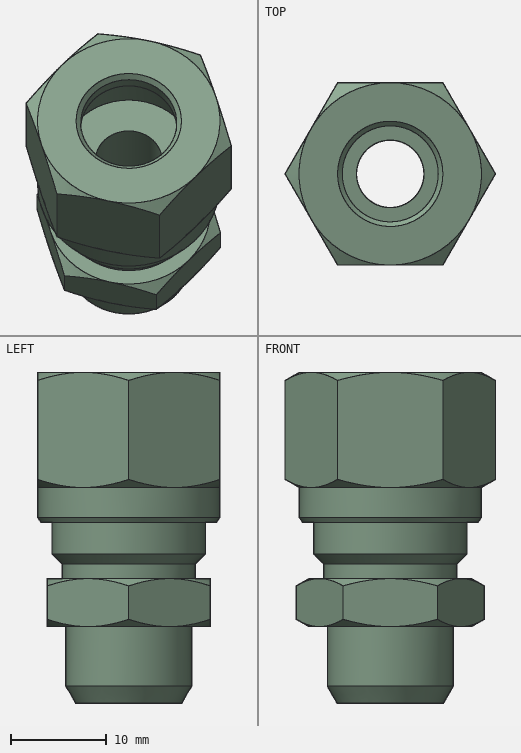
import cadquery as cq
import math

total_height = 34.5
cone_slope = math.tan(math.radians(30))

nut_flats = 19.0
nut_bottom = 18.87
nut_hex_bottom = 22.5
nut_collar_chamfer_height = 0.52
nut_collar_chamfer_width = 0.35
nut_chamfer = 0.5
nut_tube_diameter = 10.0
nut_hole_bottom = 32.55
nut_cavity_diameter = 14.15

stud_diameter = 13.15
stud_tip_height = 1.8
body_flats = 17.0
body_hex_bottom = 8.0
body_hex_top = 13.0
neck_diameter = 13.9
neck_top = 14.52
thread_diameter = 16.0
body_top = 24.85
flow_diameter = 7.0


def cylinder(diameter, bottom, top):
    return cq.Workplane("XY").workplane(offset=bottom).circle(diameter / 2).extrude(top - bottom)


def cone(bottom_diameter, top_diameter, bottom, top):
    return (
        cq.Workplane("XY")
        .workplane(offset=bottom)
        .circle(bottom_diameter / 2)
        .workplane(offset=top - bottom)
        .circle(top_diameter / 2)
        .loft(ruled=True)
    )


def chamfered_hexagon(flats, bottom, top):
    """Hexagon with corners on the X axis, both ends turned to a cone touching the flats."""
    corners = flats / math.cos(math.radians(30))
    drop = (corners - flats) / 2 * cone_slope
    prism = cq.Workplane("XY").workplane(offset=bottom).polygon(6, corners).extrude(top - bottom)
    envelope = (
        cone(flats, corners, bottom, bottom + drop)
        .union(cylinder(corners, bottom + drop, top - drop))
        .union(cone(corners, flats, top - drop, top))
    )
    return prism.intersect(envelope)


def make_nut():
    collar_start = nut_bottom + nut_collar_chamfer_height
    collar_end_diameter = nut_flats - 2 * nut_collar_chamfer_width
    outside = (
        chamfered_hexagon(nut_flats, nut_hex_bottom, total_height)
        .union(cylinder(nut_flats, collar_start, nut_hex_bottom))
        .union(cone(collar_end_diameter, nut_flats, nut_bottom, collar_start))
    )
    mouth_diameter = nut_tube_diameter + 2 * nut_chamfer
    seat_bottom = nut_hole_bottom - (nut_cavity_diameter - nut_tube_diameter) / 2
    return (
        outside
        .cut(cylinder(thread_diameter, nut_bottom, body_top))
        .cut(cylinder(nut_cavity_diameter, body_top, seat_bottom))
        .cut(cone(nut_cavity_diameter, nut_tube_diameter, seat_bottom, nut_hole_bottom))
        .cut(cylinder(nut_tube_diameter, nut_hole_bottom, total_height))
        .cut(cone(nut_tube_diameter, mouth_diameter, total_height - nut_chamfer, total_height))
    )


def make_body():
    tip_diameter = stud_diameter - 2 * stud_tip_height * cone_slope
    shoulder_top = neck_top + (thread_diameter - neck_diameter) / 2
    outside = (
        cone(tip_diameter, stud_diameter, 0, stud_tip_height)
        .union(cylinder(stud_diameter, stud_tip_height, body_hex_bottom))
        .union(chamfered_hexagon(body_flats, body_hex_bottom, body_hex_top))
        .union(cylinder(neck_diameter, body_hex_top, neck_top))
        .union(cone(neck_diameter, thread_diameter, neck_top, shoulder_top))
        .union(cylinder(thread_diameter, shoulder_top, body_top))
    )
    return outside.cut(cylinder(flow_diameter, 0, body_top))


nut = make_nut()
body = make_body()

result = cq.Compound.makeCompound([nut.solids().val(), body.solids().val()])